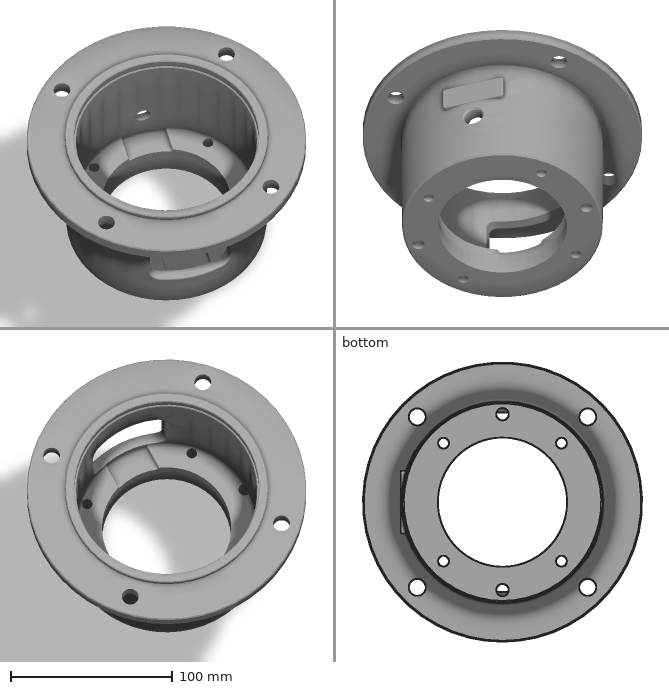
import cadquery as cq

total_height = 88.9
flange_top = 86.0
flange_bottom = 77.8
floor_top = 20.4

flange_radius = 86.5
flange_chamfer = 0.7
lip_radius = 62.8
lip_chamfer = 0.5
body_top_radius = 62.8
body_bottom_radius = 62.1
body_bottom_chamfer = 1.0
neck_fillet = 1.4

seat_radius = 57.0
seat_depth = 5.0
seat_chamfer = 0.5
seat_step_chamfer = 0.5
cavity_top_radius = 56.0
cavity_bottom_radius = 55.5
floor_fillet = 1.9
floor_bore_radius = 40.0

groove_half_width = 14.0
groove_depth = 2.6
groove_foot_fillet = 1.7
groove_edge_round = 0.7

flange_hole_radius = 5.2
flange_hole_offset = 52.8
floor_hole_radius = 3.3
floor_hole_offset = 36.5
foot_hole_radius = 3.8
foot_hole_offset = 54.5
floor_hole_rise = 2.6
floor_hole_top = floor_top + floor_hole_rise

window_width = 50.9
window_bottom = 23.2
window_top = 62.0
window_corner_radius = 6.0
window_edge_fillet = 1.0

port_height = 36.7
port_inner_radius = 4.8
port_outer_radius = 6.0
port_mouth_radius = 7.6
port_mouth_depth = 1.4
pad_width = 39.1
pad_bottom = 48.8
pad_top = 65.2
pad_face = 63.0
pad_corner_radius = 2.0
pad_edge_fillet = 0.9


def make_outer_body():
    """Drafted cylindrical body with its flange and locating lip."""
    profile = (
        cq.Workplane("YZ")
        .moveTo(0, 0)
        .lineTo(body_bottom_radius - body_bottom_chamfer, 0)
        .lineTo(body_bottom_radius, body_bottom_chamfer)
        .lineTo(body_top_radius, flange_bottom - neck_fillet)
        .radiusArc((body_top_radius + neck_fillet, flange_bottom), neck_fillet)
        .lineTo(flange_radius - flange_chamfer, flange_bottom)
        .lineTo(flange_radius, flange_bottom + flange_chamfer)
        .lineTo(flange_radius, flange_top - flange_chamfer)
        .lineTo(flange_radius - flange_chamfer, flange_top)
        .lineTo(lip_radius, flange_top)
        .lineTo(lip_radius, total_height - lip_chamfer)
        .lineTo(lip_radius - lip_chamfer, total_height)
        .lineTo(0, total_height)
        .close()
    )
    return profile.revolve(360, (0, 0, 0), (0, 1, 0))


def make_pad():
    """Raised flat pad with rounded corners on the -X wall."""
    return (
        cq.Workplane("YZ", origin=(-pad_face, 0, (pad_bottom + pad_top) / 2))
        .rect(pad_width, pad_top - pad_bottom)
        .extrude(pad_face)
        .edges("|X")
        .fillet(pad_corner_radius)
        .faces("<X")
        .edges()
        .fillet(pad_edge_fillet)
    )


def make_cavity():
    """Stepped, drafted cavity with a rounded foot, above the floor."""
    seat_bottom = total_height - seat_depth
    profile = (
        cq.Workplane("YZ")
        .moveTo(0, floor_top)
        .lineTo(cavity_bottom_radius - floor_fillet, floor_top)
        .radiusArc((cavity_bottom_radius, floor_top + floor_fillet), -floor_fillet)
        .lineTo(cavity_top_radius, seat_bottom - seat_step_chamfer)
        .lineTo(cavity_top_radius + seat_step_chamfer, seat_bottom)
        .lineTo(seat_radius, seat_bottom)
        .lineTo(seat_radius, total_height - seat_chamfer)
        .lineTo(seat_radius + seat_chamfer, total_height)
        .lineTo(0, total_height)
        .close()
    )
    return profile.revolve(360, (0, 0, 0), (0, 1, 0))


def make_groove():
    """Floor groove along X with rounded edges and feet, ending at the cavity wall."""
    bottom = floor_top - groove_depth
    top = floor_top + floor_fillet
    rim_half_width = groove_half_width + groove_edge_round
    foot_half_width = groove_half_width - groove_foot_fillet
    bar = (
        cq.Workplane("YZ", origin=(-cavity_bottom_radius, 0, 0))
        .moveTo(-foot_half_width, bottom)
        .lineTo(foot_half_width, bottom)
        .radiusArc((groove_half_width, bottom + groove_foot_fillet), -groove_foot_fillet)
        .lineTo(groove_half_width, floor_top - groove_edge_round)
        .radiusArc((rim_half_width, floor_top), groove_edge_round)
        .lineTo(rim_half_width, top)
        .lineTo(-rim_half_width, top)
        .lineTo(-rim_half_width, floor_top)
        .radiusArc((-groove_half_width, floor_top - groove_edge_round), groove_edge_round)
        .lineTo(-groove_half_width, bottom + groove_foot_fillet)
        .radiusArc((-foot_half_width, bottom), -groove_foot_fillet)
        .close()
        .extrude(2 * cavity_bottom_radius)
    )
    well = (
        cq.Workplane("XY", origin=(0, 0, bottom))
        .circle(cavity_bottom_radius)
        .extrude(top - bottom)
        .faces("<Z")
        .edges()
        .fillet(floor_fillet)
    )
    return bar.intersect(well)


def cut_window(body):
    """Cut the +X opening into the still solid body and round its outer edge."""
    pocket_start = cavity_bottom_radius / 2
    opening = (
        cq.Workplane("YZ", origin=(pocket_start, 0, (window_bottom + window_top) / 2))
        .rect(window_width, window_top - window_bottom)
        .extrude(flange_radius - pocket_start)
        .edges("|X")
        .fillet(window_corner_radius)
    )
    wall_span = body_top_radius - floor_bore_radius
    margin = window_edge_fillet
    outer_edge = cq.selectors.BoxSelector(
        (floor_bore_radius + wall_span / 2, -window_width, window_bottom - margin),
        (flange_radius, window_width, window_top + margin),
    )
    return body.cut(opening).edges(outer_edge).fillet(window_edge_fillet)


def make_port():
    """Round port through the -X wall tapered inwards, with a countersunk mouth."""
    wall_face = body_top_radius
    profile = (
        cq.Workplane("XY")
        .moveTo(0, 0)
        .lineTo(0, port_inner_radius)
        .lineTo(-cavity_bottom_radius, port_inner_radius)
        .lineTo(port_mouth_depth - wall_face, port_outer_radius)
        .lineTo(-wall_face, port_mouth_radius)
        .lineTo(-wall_face, 0)
        .close()
    )
    return profile.revolve(360, (0, 0, 0), (1, 0, 0)).translate((0, 0, port_height))


def make_holes(points, radius, height):
    """Vertical holes from the bottom face up to the given height."""
    return cq.Workplane("XY").pushPoints(points).circle(radius).extrude(height)


def square_points(offset):
    """Four points on the diagonals, offset equally along X and Y."""
    return [(x, y) for x in (-offset, offset) for y in (-offset, offset)]


foot_points = [(0, -foot_hole_offset), (0, foot_hole_offset)]
flange_points = square_points(flange_hole_offset)
floor_points = square_points(floor_hole_offset)

result = cut_window(make_outer_body()).union(make_pad())
result = result.cut(make_cavity()).cut(make_groove()).cut(make_port())
result = result.cut(make_holes([(0, 0)], floor_bore_radius, floor_top))
result = result.cut(make_holes(flange_points, flange_hole_radius, total_height))
result = result.cut(make_holes(floor_points, floor_hole_radius, floor_hole_top))
result = result.cut(make_holes(foot_points, foot_hole_radius, floor_hole_top))